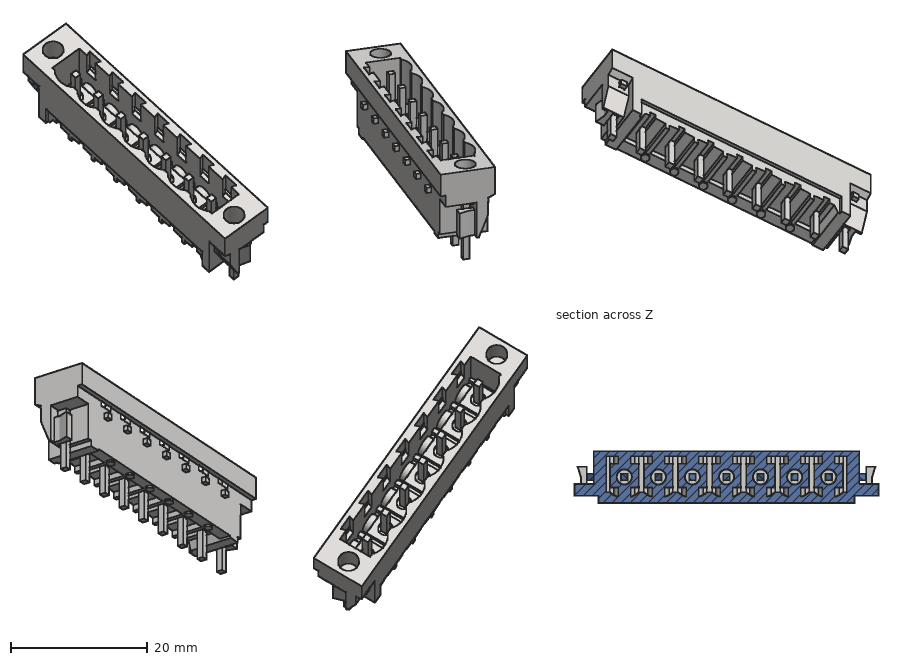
import cadquery as cq


length = 44.6
depth = 8.45
height = 15.2
poles = 7
pitch = 5.0
pole_xs = [pitch * (i - (poles - 1) / 2) for i in range(poles)]
rib_xs = [x + pitch / 2 for x in pole_xs[:-1]]
flange_x = pitch * (poles + 1) / 2

pin_side = 1.0
pin_y = 3.85
pin_top = 14.3
elbow_top = 9.72
elbow_front = 0.4

core_half = 18.78
base_z = 3.2
back_y = 7.63
lip_z = 11.7
wing_half = length / 2
wing_z = 9.85
wing_hole_diameter = 3.08
wing_hole_depth = 4.0

leg_front = 1.05
leg_back = 2.8
leg_front_slant_z = 7.65
leg_bottom_front = 2.5
leg_bottom_z = 4.15
relief_front_z = 10.85
relief_back_z = 10.35
fin_top = 8.25
fin_back = 5.35
fin_bend_y = 3.8
fin_bend_x = 21.35
fin_tip_x = 21.85

cavity_half = 17.6
cavity_front = 1.6
cavity_back = 6.85
cell_width = 4.25
cell_half = cell_width / 2
scallop_front = 0.8
divider_z = 8.05
floor_z = 7.15
ridge_radius = 1.55
block_front = 2.27
block_back = 5.8
block_top = floor_z + ridge_radius
pin_recess_diameter = 2.2
pin_recess_depth = 0.45

dovetail_mouth_half = 0.95
dovetail_root_half = 1.2
dovetail_back = 7.65
dovetail_z = 10.95

catch_width = 1.0
catch_projection = 0.7
catch_bottom = 9.15
catch_height = 0.85

front_recess_half = 17.25
front_recess_top = 6.75
front_recess_depth = 0.5
rib_width = 0.65
pocket_half = (pitch - rib_width) / 2
pocket_corner_z = 4.45
pocket_crown_z = 4.6
pocket_back = 5.8
end_slope_low_half = 16.95
end_slope_high_half = 16.3
end_slope_high_z = 4.55
rib_bottom_z = 3.52
pin_slot_top = 5.4
foot_diameter = 1.3
foot_y = 6.7


def box(x0, x1, y0, y1, z0, z1):
    """Axis-aligned block between two corners."""
    return cq.Workplane("XY").box(x1 - x0, y1 - y0, z1 - z0, centered=False).translate((x0, y0, z0))


def pin_shaft(x, top):
    """Square pin shaft rising from the pin tips."""
    half = pin_side / 2
    return box(x - half, x + half, pin_y - half, pin_y + half, 0, top)


def contact_pin(x):
    return pin_shaft(x, pin_top)


def flange_pin(x):
    """L-shaped solder pin whose upper arm passes forward through the flange leg."""
    half = pin_side / 2
    arm = box(x - half, x + half, elbow_front, pin_y + half, elbow_top - pin_side, elbow_top)
    return pin_shaft(x, elbow_top).union(arm)


def left_flange():
    """Leg, backing plate and fin that hold the left solder pin below the wing."""
    leg_outline = [
        (0, relief_front_z),
        (leg_front, relief_back_z),
        (leg_front, leg_front_slant_z),
        (leg_bottom_front, leg_bottom_z),
        (leg_back, leg_bottom_z),
        (leg_back, relief_front_z),
    ]
    leg_plane = cq.Workplane("YZ", origin=(-wing_half, 0, 0))
    leg = leg_plane.polyline(leg_outline).close().extrude(wing_half - core_half)
    pin_inner = -flange_x + pin_side / 2
    pin_outer = -flange_x - pin_side / 2
    plate = box(pin_inner, -core_half, leg_back, back_y, leg_bottom_z, wing_z)
    fin_outline = [
        (-fin_bend_x, leg_back),
        (-fin_bend_x, fin_bend_y),
        (-fin_tip_x, fin_back),
        (pin_outer, fin_back),
        (pin_outer, leg_back),
    ]
    fin = (
        cq.Workplane("XY")
        .workplane(offset=leg_bottom_z)
        .polyline(fin_outline)
        .close()
        .extrude(fin_top - leg_bottom_z)
    )
    return leg.union(plate).union(fin)


def housing_blank():
    """Core, wings, back lip and flanges before any cavity is cut."""
    core = box(-core_half, core_half, 0, back_y, base_z, height)
    wings = box(-wing_half, wing_half, leg_back, back_y, wing_z, height)
    wing_fronts = box(-wing_half, wing_half, 0, leg_back, relief_front_z, height)
    lip = box(-wing_half, wing_half, back_y, depth, lip_z, height)
    flange = left_flange()
    return core.union(wings).union(wing_fronts).union(lip).union(flange).union(flange.mirror("YZ"))


def wing_holes():
    return (
        cq.Workplane("XY")
        .workplane(offset=height)
        .pushPoints([(-flange_x, pin_y), (flange_x, pin_y)])
        .circle(wing_hole_diameter / 2)
        .extrude(-wing_hole_depth)
    )


def cell_pocket(x):
    """One cell with an arched front wall, down to the cell floor."""
    return (
        cq.Workplane("XY")
        .workplane(offset=floor_z)
        .moveTo(x - cell_half, cavity_back)
        .lineTo(x - cell_half, cavity_front)
        .threePointArc((x, scallop_front), (x + cell_half, cavity_front))
        .lineTo(x + cell_half, cavity_back)
        .close()
        .extrude(height - floor_z)
    )


def cell_island(x):
    """Rounded ridge along Y and the block around the pin, standing on the cell floor."""
    ridge = cq.Workplane("XZ").center(x, floor_z).circle(ridge_radius).extrude(-cavity_back)
    block = box(x - cell_half, x + cell_half, block_front, block_back, floor_z, block_top)
    recess = (
        cq.Workplane("XY")
        .workplane(offset=block_top)
        .center(x, pin_y)
        .circle(pin_recess_diameter / 2)
        .extrude(-pin_recess_depth)
    )
    return ridge.intersect(cell_pocket(x)).union(block).cut(recess)


def dovetail_slot(x):
    outline = [
        (x - dovetail_mouth_half, cavity_back),
        (x - dovetail_root_half, dovetail_back),
        (x + dovetail_root_half, dovetail_back),
        (x + dovetail_mouth_half, cavity_back),
    ]
    plane = cq.Workplane("XY").workplane(offset=dovetail_z)
    return plane.polyline(outline).close().extrude(height - dovetail_z)


def plug_cavity():
    """Open space for the plug, with the islands of all cells left standing."""
    cavity = box(-cavity_half, cavity_half, cavity_front, cavity_back, divider_z, height)
    for x in pole_xs:
        cavity = cavity.union(cell_pocket(x)).union(dovetail_slot(x))
    for x in pole_xs:
        cavity = cavity.cut(cell_island(x))
    return cavity


def underside_pocket(x):
    """Pocket below one pole with an arched ceiling, open to the front and below."""
    return (
        cq.Workplane("XZ")
        .moveTo(x - pocket_half, base_z)
        .lineTo(x - pocket_half, pocket_corner_z)
        .threePointArc((x, pocket_crown_z), (x + pocket_half, pocket_corner_z))
        .lineTo(x + pocket_half, base_z)
        .close()
        .extrude(-pocket_back)
    )


def underside_hollow():
    """All pockets, the raised rib bottoms and the sloped ends that bound them."""
    slope_run = end_slope_low_half - end_slope_high_half
    slope_rise = end_slope_high_z - base_z
    top_half = end_slope_low_half - slope_run * (pin_slot_top - base_z) / slope_rise
    envelope_outline = [
        (-end_slope_low_half, base_z),
        (-top_half, pin_slot_top),
        (top_half, pin_slot_top),
        (end_slope_low_half, base_z),
    ]
    envelope = cq.Workplane("XZ").polyline(envelope_outline).close().extrude(-back_y)
    hollow = box(-core_half, core_half, 0, back_y, base_z, rib_bottom_z)
    for x in pole_xs:
        hollow = hollow.union(underside_pocket(x))
    return hollow.intersect(envelope)


def pin_slot(x):
    """Slot from the front to the pin, in the ceiling of the underside pocket."""
    half = pin_side / 2
    return box(x - half, x + half, 0, pin_y + half, base_z, pin_slot_top)


def rib_feet():
    return (
        cq.Workplane("XY")
        .workplane(offset=base_z)
        .pushPoints([(x, foot_y) for x in rib_xs])
        .circle(foot_diameter / 2)
        .extrude(rib_bottom_z - base_z)
    )


def back_catch(x):
    half = catch_width / 2
    catch_top = catch_bottom + catch_height
    return box(x - half, x + half, back_y, back_y + catch_projection, catch_bottom, catch_top)


def make_housing(pins):
    """Housing with its cavities, and a matching passage for every pin."""
    body = housing_blank().cut(wing_holes()).cut(plug_cavity())
    front_recess = box(-front_recess_half, front_recess_half, 0, front_recess_depth, base_z, front_recess_top)
    body = body.cut(front_recess).cut(underside_hollow())
    for x in pole_xs:
        body = body.cut(pin_slot(x)).union(back_catch(x))
    body = body.union(rib_feet())
    for pin in pins:
        body = body.cut(pin)
    return body


contact_pins = [contact_pin(x) for x in pole_xs]
flange_pins = [flange_pin(x) for x in (-flange_x, flange_x)]
pins = contact_pins + flange_pins
housing = make_housing(pins)

result = cq.Compound.makeCompound([housing.val(), *[pin.val() for pin in pins]])